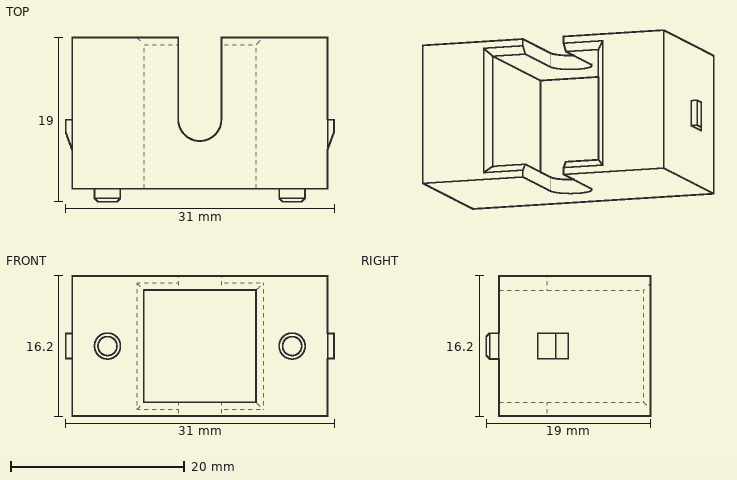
import cadquery as cq

overall_width = 31.0
clip_height = 0.75
body_width = overall_width - 2 * clip_height
body_depth = 17.5
body_height = 16.2

window_size = 12.93
window_chamfer = 0.85

slot_width = 4.95
slot_depth = 11.97

pin_diameter = 3.0
pin_length = 1.5
pin_spacing = 21.33
pin_chamfer = 0.4

clip_width = 2.9
clip_length = 3.5
clip_flat = 1.45
clip_back_offset = 9.52


def make_body():
    body = cq.Workplane("XY").box(body_width, body_depth, body_height, centered=(True, False, True))
    window = cq.Workplane("XY").box(window_size, body_depth, window_size, centered=(True, False, True))
    mouth = (
        cq.Workplane("XZ", origin=(0, body_depth, 0))
        .rect(window_size + 2 * window_chamfer, window_size + 2 * window_chamfer)
        .workplane(offset=window_chamfer)
        .rect(window_size, window_size)
        .loft(ruled=True)
    )
    return body.cut(window).cut(mouth)


def make_slot():
    radius = slot_width / 2
    front_y = body_depth - slot_depth
    arc_y = front_y + radius
    return (
        cq.Workplane("XY")
        .moveTo(-radius, body_depth)
        .lineTo(-radius, arc_y)
        .threePointArc((0, front_y), (radius, arc_y))
        .lineTo(radius, body_depth)
        .close()
        .extrude(body_height / 2, both=True)
    )


def make_pins():
    return (
        cq.Workplane("XZ")
        .pushPoints([(-pin_spacing / 2, 0), (pin_spacing / 2, 0)])
        .circle(pin_diameter / 2)
        .extrude(pin_length)
        .faces("<Y")
        .chamfer(pin_chamfer)
    )


def make_clip(side):
    """Wedge on the +X (side = 1) or -X (side = -1) face, ramping down toward the front."""
    base_x = side * body_width / 2
    tip_x = side * overall_width / 2
    back_y = body_depth - clip_back_offset
    return (
        cq.Workplane("XY")
        .moveTo(base_x, back_y)
        .lineTo(tip_x, back_y)
        .lineTo(tip_x, back_y - clip_flat)
        .lineTo(base_x, back_y - clip_length)
        .close()
        .extrude(clip_width / 2, both=True)
    )


result = make_body().cut(make_slot()).union(make_pins())
for side in (-1, 1):
    result = result.union(make_clip(side))